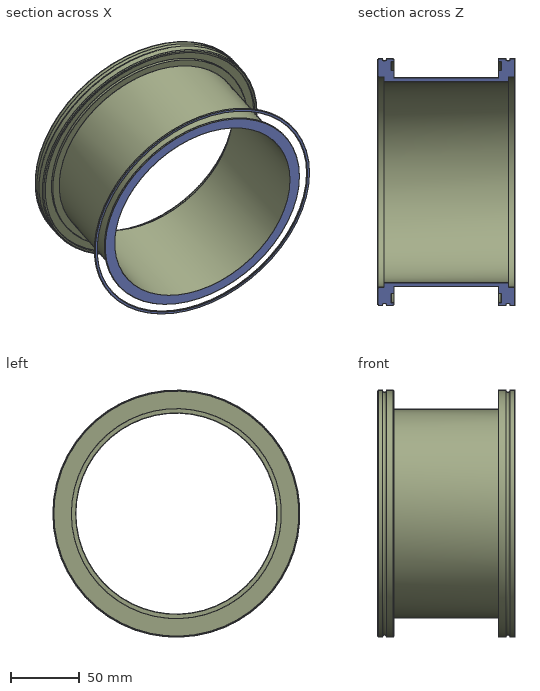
import cadquery as cq

LENGTH = 100.0
TUBE_OUTER_D = 152.4
TUBE_INNER_D = 146.4
FLANGE_D = 180.0
FLANGE_BORE_D = 153.0
FLANGE_THICKNESS = 12.0
TUBE_SETBACK = 4.55

RIM_CHAMFER = 0.75

GROOVE_RADIUS = 1.5
GROOVE_CENTRE = 5.0

RECESS_OUTER_D = 175.8
RECESS_INNER_D = 163.1
RECESS_DEPTH = 2.0


def ring(outer_d, inner_d, start, length):
    """Plain ring about the X axis, starting at x = start."""
    return (
        cq.Workplane("YZ", origin=(start, 0, 0))
        .circle(outer_d / 2)
        .circle(inner_d / 2)
        .extrude(length)
    )


def rim_groove():
    """Round cutter swept around the rim, centred on the rim surface."""
    return (
        cq.Workplane("XY")
        .center(GROOVE_CENTRE, FLANGE_D / 2)
        .circle(GROOVE_RADIUS)
        .revolve(360, (0, -FLANGE_D / 2, 0), (1, -FLANGE_D / 2, 0))
    )


def back_recess():
    """Cutter for the ring-shaped recess around the tube."""
    start = FLANGE_THICKNESS - RECESS_DEPTH
    return ring(RECESS_OUTER_D, RECESS_INNER_D, start, RECESS_DEPTH)


def flange():
    """Flange with its outer face at x = 0 and its back face toward +X."""
    socket = ring(FLANGE_D, FLANGE_BORE_D, 0, TUBE_SETBACK)
    web = ring(FLANGE_D, TUBE_INNER_D, TUBE_SETBACK, FLANGE_THICKNESS - TUBE_SETBACK)
    return socket.union(web).cut(back_recess()).cut(rim_groove())


def chamfer_rim(body):
    """Bevel the rim edges of the outer face and of the back face."""
    rim_edge = cq.selectors.RadiusNthSelector(-1)
    beveled = body.faces("<X").edges(rim_edge).chamfer(RIM_CHAMFER)
    return beveled.faces(">X").edges(rim_edge).chamfer(RIM_CHAMFER)


plain_flange = flange()
left_flange = chamfer_rim(plain_flange)
right_flange = plain_flange.mirror("YZ").translate((LENGTH, 0, 0))
tube = ring(TUBE_OUTER_D, TUBE_INNER_D, TUBE_SETBACK, LENGTH - 2 * TUBE_SETBACK)

result = tube.union(left_flange).union(right_flange)